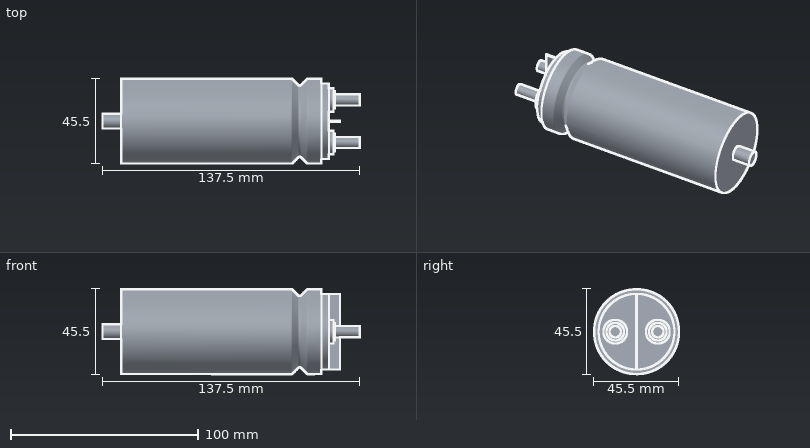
import cadquery as cq

can_radius = 22.75
can_diameter = 2 * can_radius
can_length = 107.0

groove_center_x = 95.4
groove_depth = 4.1
groove_half_width = groove_depth
groove_lip_radius = 0.9
groove_floor_radius = 1.0
ring_tolerance = 0.1

stud_radius = 4.0
stud_length = 10.0

cover_radius = 20.25
cover_height = 4.0
cover_face_x = can_length + cover_height

terminal_offset = 11.375
base_radius = 6.35
base_height = 2.5
collar_radius = 4.7
collar_height = 0.8
pin_radius = 3.05
pin_reach = 16.5

barrier_thickness = 0.6
barrier_height = 6.0
barrier_width = 2 * cover_radius


def disc(start_x, radius, length, y=0.0):
    """Cylinder along +X, starting at start_x and centred on the given Y."""
    return cq.Workplane("YZ", origin=(start_x, y, 0)).circle(radius).extrude(length)


def ring_at(x):
    """Selector for the circular edges lying in the plane at the given X."""
    return cq.selectors.BoxSelector(
        (x - ring_tolerance, -can_diameter, -can_diameter),
        (x + ring_tolerance, can_diameter, can_diameter),
        boundingbox=True,
    )


def make_can():
    left_lip_x = groove_center_x - groove_half_width
    right_lip_x = groove_center_x + groove_half_width
    profile = (
        cq.Workplane("XY")
        .lineTo(0, can_radius)
        .lineTo(left_lip_x, can_radius)
        .lineTo(groove_center_x, can_radius - groove_depth)
        .lineTo(right_lip_x, can_radius)
        .lineTo(can_length, can_radius)
        .lineTo(can_length, 0)
        .close()
    )
    can = profile.revolve(360, (0, 0, 0), (1, 0, 0))
    for lip_x in (left_lip_x, right_lip_x):
        can = can.edges(ring_at(lip_x)).fillet(groove_lip_radius)
    return can.edges(ring_at(groove_center_x)).fillet(groove_floor_radius)


def make_terminal(y):
    base = disc(cover_face_x, base_radius, base_height, y)
    collar = disc(cover_face_x, collar_radius, base_height + collar_height, y)
    pin = disc(cover_face_x, pin_radius, pin_reach, y)
    return base.union(collar).union(pin)


def make_barrier():
    cover_face = cq.Workplane("YZ", origin=(cover_face_x, 0, 0))
    return cover_face.rect(barrier_thickness, barrier_width).extrude(barrier_height)


result = make_can()
result = result.union(disc(-stud_length, stud_radius, stud_length))
result = result.union(disc(can_length, cover_radius, cover_height))
for side in (-1, 1):
    result = result.union(make_terminal(side * terminal_offset))
result = result.union(make_barrier())